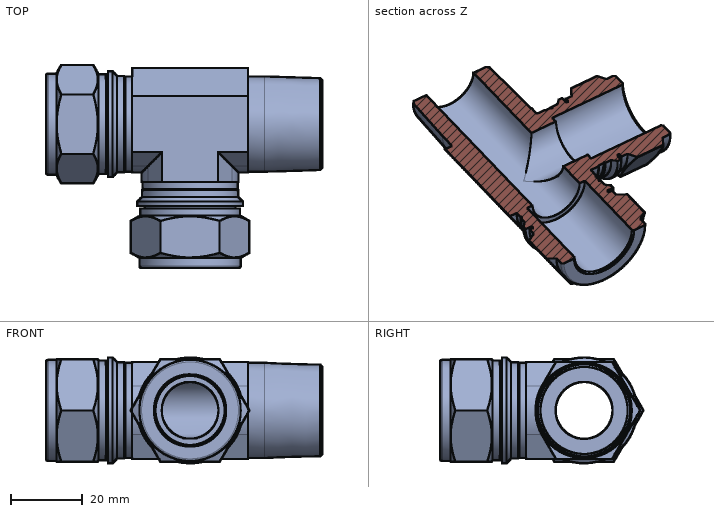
import cadquery as cq
import math

run_length = 76.9
compression_end = 40.05
thread_end = run_length - compression_end

half_hexagon_angle = math.pi / 6

body_across_flats = 27.05
body_half_length = 16.15
bore_diameter = 15.75

shoulder_end, shoulder_diameter = 18.0, 26.6
relief_end, relief_diameter = 18.4, 26.1
neck_end, neck_diameter = 20.3, 26.9
flange_start, flange_end, flange_diameter = 21.6, 22.8, 29.5
groove_end, groove_diameter = 23.45, 25.4
ring_end, ring_diameter = 25.45, 27.8
socket_diameter = 19.2
socket_chamfer = 0.45

nut_end = 37.2
nut_across_flats = 28.6
nut_lip_diameter = 28.2
lip_rounding = 0.6
nut_cone_angle = math.radians(30)

thread_start = 20.75
thread_diameter = shoulder_diameter
thread_taper = 1 / 16
thread_tip_diameter = 24.2


def corner_diameter(across_flats):
    return across_flats / math.cos(half_hexagon_angle)


def hexagon(across_flats, start, end):
    """Hexagonal bar along +X with two of its corners at +Y and -Y."""
    return (
        cq.Workplane("YZ", origin=(start, 0, 0))
        .polygon(6, corner_diameter(across_flats))
        .extrude(end - start)
    )


def cylinder(diameter, start, end):
    return cq.Workplane("YZ", origin=(start, 0, 0)).circle(diameter / 2).extrude(end - start)


def turned(stations):
    """Solid of revolution about X through (distance, diameter) stations."""
    radii = [(distance, diameter / 2) for distance, diameter in stations]
    outline = [(radii[0][0], 0)] + radii + [(radii[-1][0], 0)]
    return cq.Workplane("XY").polyline(outline).close().revolve(360, (0, 0, 0), (1, 0, 0))


def body_bar(sharp_corner, start, end):
    """Hexagonal bar along +X; its -Y corner is rounded off, its +Y corner only if not sharp."""
    radius = body_across_flats / 2
    flat_end = radius * math.tan(half_hexagon_angle)
    tangent_y = radius * math.cos(half_hexagon_angle)
    tangent_z = radius * math.sin(half_hexagon_angle)
    section = (
        cq.Workplane("YZ", origin=(start, 0, 0))
        .moveTo(flat_end, -radius)
        .lineTo(-flat_end, -radius)
        .lineTo(-tangent_y, -tangent_z)
        .threePointArc((-radius, 0), (-tangent_y, tangent_z))
        .lineTo(-flat_end, radius)
        .lineTo(flat_end, radius)
    )
    if sharp_corner:
        section = section.lineTo(corner_diameter(body_across_flats) / 2, 0)
    else:
        section = section.lineTo(tangent_y, tangent_z).threePointArc((radius, 0), (tangent_y, -tangent_z))
    return section.close().extrude(end - start)


def nut():
    corner = corner_diameter(nut_across_flats)
    inner_cone = math.tan(nut_cone_angle) * (corner - ring_diameter) / 2
    outer_cone = math.tan(nut_cone_angle) * (corner - nut_lip_diameter) / 2
    envelope = turned([
        (ring_end, ring_diameter),
        (ring_end + inner_cone, corner),
        (nut_end - outer_cone, corner),
        (nut_end, nut_lip_diameter),
    ])
    lip = cylinder(nut_lip_diameter, nut_end, compression_end).faces(">X").edges().fillet(lip_rounding)
    return hexagon(nut_across_flats, ring_end, nut_end).intersect(envelope).union(lip)


def compression_arm():
    """Stepped neck, flange and ring behind the nut, starting from the centre of the body."""
    neck = turned([
        (0, shoulder_diameter),
        (shoulder_end, shoulder_diameter),
        (shoulder_end, relief_diameter),
        (relief_end, relief_diameter),
        (relief_end, neck_diameter),
        (neck_end, neck_diameter),
        (flange_start, flange_diameter),
        (flange_end, flange_diameter),
        (flange_end, groove_diameter),
        (groove_end, groove_diameter),
        (groove_end, ring_diameter),
        (ring_end, ring_diameter),
    ])
    return neck.union(nut())


def tube_socket():
    """Socket for the tube, from the end face of the body to a chamfered mouth."""
    mouth_diameter = socket_diameter + 2 * socket_chamfer
    return turned([
        (body_half_length, socket_diameter),
        (compression_end - socket_chamfer, socket_diameter),
        (compression_end, mouth_diameter),
    ])


def thread_arm():
    """Plain shoulder, then the tapered thread envelope with a 45 degree chamfer at the tip."""
    full_taper_diameter = thread_diameter - thread_taper * (thread_end - thread_start)
    tip_chamfer = (full_taper_diameter - thread_tip_diameter) / 2
    chamfer_start = thread_end - tip_chamfer
    return turned([
        (0, thread_diameter),
        (thread_start, thread_diameter),
        (chamfer_start, thread_diameter - thread_taper * (chamfer_start - thread_start)),
        (thread_end, thread_tip_diameter),
    ])


def turn_about_z(shape, angle):
    return shape.rotate((0, 0, 0), (0, 0, 1), angle)


solid = body_bar(True, -body_half_length, body_half_length).union(thread_arm())
solid = solid.union(turn_about_z(body_bar(False, 0, body_half_length), -90))

compression_directions = (180, -90)
for angle in compression_directions:
    solid = solid.union(turn_about_z(compression_arm(), angle))

solid = solid.cut(cylinder(bore_diameter, -compression_end, thread_end))
solid = solid.cut(turn_about_z(cylinder(bore_diameter, 0, compression_end), -90))
for angle in compression_directions:
    solid = solid.cut(turn_about_z(tube_socket(), angle))

result = solid